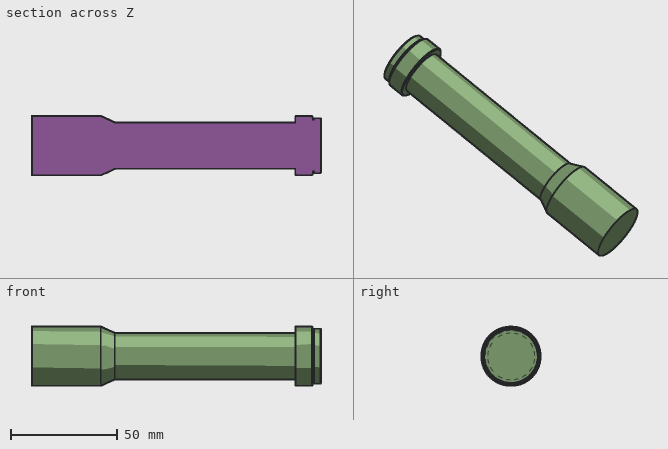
import cadquery as cq

total_length = 135.9
head_length = 32.5
cone_length = 6.5
collar_start = 123.7
collar_length = 8.3
groove_width = 0.7

head_diameter = 28.0
tube_diameter = 22.0
collar_diameter = head_diameter
groove_diameter = 24.5
cap_diameter = 26.0

edge_chamfer = 0.4

cone_end = head_length + cone_length
collar_end = collar_start + collar_length
cap_start = collar_end + groove_width
cap_length = total_length - cap_start


def cylinder(start, length, diameter):
    """Solid cylinder on the X axis, beginning at the given station."""
    return cq.Workplane("YZ", origin=(start, 0, 0)).circle(diameter / 2).extrude(length)


def head_and_tube():
    """Wide head tapering through a cone into the slim tube."""
    head_radius = head_diameter / 2
    tube_radius = tube_diameter / 2
    profile = (
        cq.Workplane("XY")
        .moveTo(0, 0)
        .lineTo(0, head_radius)
        .lineTo(head_length, head_radius)
        .lineTo(cone_end, tube_radius)
        .lineTo(collar_start, tube_radius)
        .lineTo(collar_start, 0)
        .close()
    )
    return profile.revolve(360, (0, 0, 0), (1, 0, 0))


collar = cylinder(collar_start, collar_length, collar_diameter).edges().chamfer(edge_chamfer)
groove = cylinder(collar_end, groove_width, groove_diameter)
cap = cylinder(cap_start, cap_length, cap_diameter).faces(">X").edges().chamfer(edge_chamfer)

result = head_and_tube().union(collar).union(groove).union(cap)